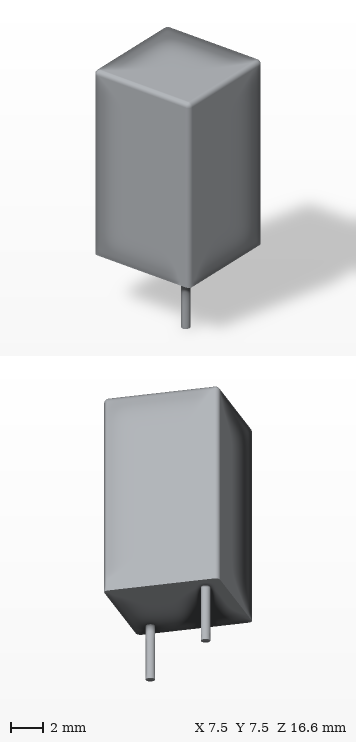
import cadquery as cq

total_height = 16.6
housing_width = 7.5
pin_length = 3.6
housing_height = total_height - pin_length
edge_radius = 0.3

pin_diameter = 0.6
pin_pitch = 5.08


def make_housing():
    """Square block standing on Z = 0, rounded everywhere except around its flat base."""
    block = cq.Workplane("XY").box(
        housing_width, housing_width, housing_height, centered=(True, True, False)
    )
    return block.edges("|Z or >Z").fillet(edge_radius)


def make_pin(x, y):
    """Straight round pin hanging from the housing base."""
    return (
        cq.Workplane("XY")
        .center(x, y)
        .circle(pin_diameter / 2)
        .extrude(-pin_length)
    )


housing = make_housing()

pins = [make_pin(side * pin_pitch / 2, -side * pin_pitch / 2) for side in (-1, 1)]

result = cq.Compound.makeCompound([housing.val(), *[pin.val() for pin in pins]])